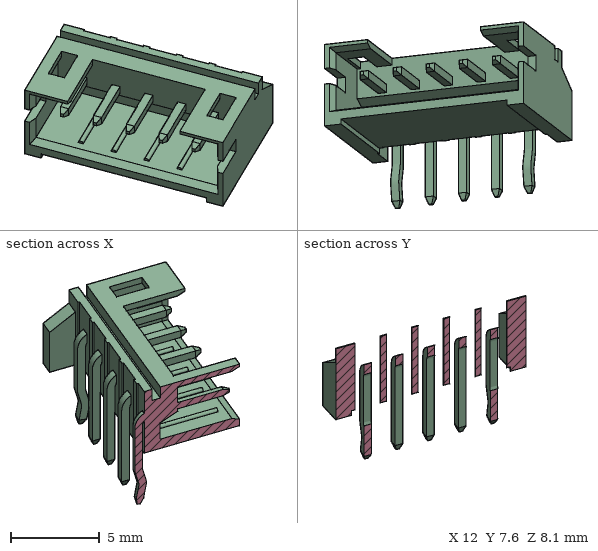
import cadquery as cq
import math


width = 12.0
height = 4.8
depth = 7.6
wall_back = 6.0
arm_width = 0.89
arm_top_drop = 1.9
slope_top_drop = 0.96

rear_lip_thickness = 0.59
groove_width = 0.5
groove_depth = 0.8
foot_width = 1.0
foot_height = 0.3

side_wall = 0.5
roof_thickness = 0.41
floor_z = 1.01
cavity_depth = 3.82
mouth_flare = 0.2
mouth_flare_depth = 0.48
undercut_depth = 1.08
undercut_front_z = 2.64
undercut_back_z = 2.16
cavity_width = width - 2 * side_wall
cavity_top = height - roof_thickness

roof_slot_width = 6.8
window_width = 0.97
window_length = 2.02
window_offset = 4.8
side_slot_depth = 1.99
side_slot_height = 0.91
side_slot_top_drop = 1.42

pin_count = 5
pitch = 1.99
pin_size = 0.49
pin_tip_size = 0.2
pin_tip_length = 0.4
pin_front_y = 0.61
pin_z = height - 1.74
leg_y = wall_back + pin_size / 2
bend_radius = 0.75
straight_leg_bottom = -3.26

kink_z = -0.78
knee_y = 5.98
knee_z = -1.84
knee_radius = 0.7
lower_tilt = math.radians(10)
kinked_shank_z = -2.89

relief_width = 1.6
relief_depth = 0.1
rib_diameter = 0.3
rib_front_y = 0.95

pin_positions = [(i - (pin_count - 1) / 2) * pitch for i in range(pin_count)]
rib_positions = [x + pitch / 2 for x in pin_positions[:-1]]


def block(x_size, y_range, z_range, x_center=0.0):
    """Axis-aligned block centred on x_center, spanning the given y and z ranges."""
    y_size = y_range[1] - y_range[0]
    z_size = z_range[1] - z_range[0]
    corner = (x_center - x_size / 2, y_range[0], z_range[0])
    return cq.Workplane("XY").box(x_size, y_size, z_size, centered=False).translate(corner)


def side_profile(points, x_size):
    """Extrude a closed (y, z) outline symmetrically about x = 0."""
    return cq.Workplane("YZ").polyline(points).close().extrude(x_size / 2, both=True)


def make_shell():
    """Solid housing with rear arms, roof groove, underside clearance and reliefs."""
    outline = [
        (0, 0),
        (depth, 0),
        (depth, height - arm_top_drop),
        (wall_back, height - slope_top_drop),
        (wall_back, height),
        (0, height),
    ]
    shell = side_profile(outline, width)
    shell = shell.cut(block(width - 2 * arm_width, (wall_back, depth), (0, height)))

    groove_back = wall_back - rear_lip_thickness
    groove = block(width, (groove_back - groove_width, groove_back), (height - groove_depth, height))
    underside = block(width - 2 * foot_width, (0, depth), (0, foot_height))
    shell = shell.cut(groove).cut(underside)

    for x in pin_positions:
        relief = block(relief_width, (wall_back - relief_depth, wall_back), (0, height), x)
        shell = shell.cut(relief)
    return shell


def make_cavity():
    """Mating cavity, undercut below the contacts and flared at its mouth."""
    outline = [
        (0, floor_z),
        (cavity_depth + undercut_depth, floor_z),
        (cavity_depth + undercut_depth, undercut_back_z),
        (cavity_depth, undercut_front_z),
        (cavity_depth, cavity_top),
        (0, cavity_top),
    ]
    cavity = side_profile(outline, cavity_width)

    cavity_height = cavity_top - floor_z
    flare = (
        cq.Workplane("XZ", origin=(0, 0, floor_z + cavity_height / 2))
        .rect(cavity_width + 2 * mouth_flare, cavity_height + 2 * mouth_flare)
        .workplane(offset=-mouth_flare_depth)
        .rect(cavity_width, cavity_height)
        .loft(ruled=True)
    )
    return cavity.union(flare)


def cut_shroud_openings(housing):
    """Cut the roof slot, the two roof windows and the slots in the side walls."""
    roof_range = (cavity_top, height)
    housing = housing.cut(block(roof_slot_width, (0, cavity_depth), roof_range))
    for x in (-window_offset, window_offset):
        window_range = (cavity_depth - window_length, cavity_depth)
        housing = housing.cut(block(window_width, window_range, roof_range, x))

    slot_top = height - side_slot_top_drop
    side_slots = block(width, (0, side_slot_depth), (slot_top - side_slot_height, slot_top))
    return housing.cut(side_slots)


def make_rib(x):
    """Half-round rib lying on the cavity floor and ending at its back wall."""
    length = cavity_depth + undercut_depth - rib_front_y
    return (
        cq.Workplane("XZ", origin=(x, rib_front_y, floor_z))
        .circle(rib_diameter / 2)
        .extrude(-length)
    )


def make_tip(end_point, direction):
    """Square tip tapering from a shank end along the given direction."""
    plane = cq.Plane(origin=end_point, xDir=(1, 0, 0), normal=direction)
    return (
        cq.Workplane(plane)
        .rect(pin_size, pin_size)
        .workplane(offset=pin_tip_length)
        .rect(pin_tip_size, pin_tip_size)
        .loft(ruled=True)
    )


def make_contact(x, kinked):
    """Bent square contact with a tapered tip at both ends."""
    shank_front_y = pin_front_y + pin_tip_length
    path = (
        cq.Workplane("YZ", origin=(x, 0, 0))
        .moveTo(shank_front_y, pin_z)
        .lineTo(leg_y - bend_radius, pin_z)
        .tangentArcPoint((leg_y, pin_z - bend_radius), relative=False)
    )
    if kinked:
        upper_tilt = math.atan2(leg_y - knee_y, kink_z - knee_z)
        tangent = knee_radius * math.tan((upper_tilt + lower_tilt) / 2)
        arc_start = (knee_y + tangent * math.sin(upper_tilt), knee_z + tangent * math.cos(upper_tilt))
        arc_end = (knee_y + tangent * math.sin(lower_tilt), knee_z - tangent * math.cos(lower_tilt))
        shank_end_y = knee_y + (knee_z - kinked_shank_z) * math.tan(lower_tilt)
        shank_end = (shank_end_y, kinked_shank_z)
        path = path.lineTo(leg_y, kink_z).lineTo(*arc_start)
        path = path.tangentArcPoint(arc_end, relative=False).lineTo(*shank_end)
        end_direction = (0, math.sin(lower_tilt), -math.cos(lower_tilt))
    else:
        shank_end = (leg_y, straight_leg_bottom + pin_tip_length)
        path = path.lineTo(*shank_end)
        end_direction = (0, 0, -1)

    shank = (
        cq.Workplane("XZ", origin=(x, shank_front_y, pin_z))
        .rect(pin_size, pin_size)
        .sweep(path, transition="right")
    )
    front_tip = make_tip((x, shank_front_y, pin_z), (0, -1, 0))
    leg_tip = make_tip((x, *shank_end), end_direction)
    return shank.union(front_tip).union(leg_tip)


housing = cut_shroud_openings(make_shell().cut(make_cavity()))

for rib_x in rib_positions:
    housing = housing.union(make_rib(rib_x))

for pin_x in pin_positions:
    is_outer = pin_x in (pin_positions[0], pin_positions[-1])
    housing = housing.union(make_contact(pin_x, is_outer))

result = housing